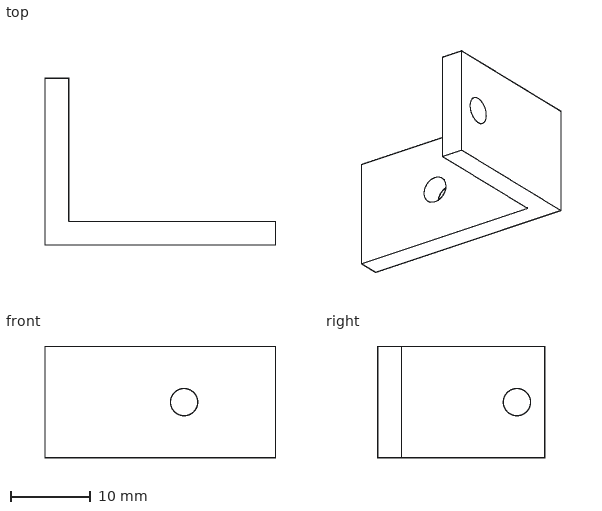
import cadquery as cq

long_leg = 29.0
short_leg = 21.0
height = 14.0
thickness = 3.0
hole_diameter = 3.4
hole_from_corner = 17.5

hole_height = height / 2


def angle_body():
    """L-shaped bracket with its outer corner on the Z axis."""
    long_plate = cq.Workplane("XY").box(long_leg, thickness, height, centered=False)
    short_plate = cq.Workplane("XY").box(thickness, short_leg, height, centered=False)
    return long_plate.union(short_plate)


def leg_hole(center, direction):
    """Cylinder that cuts through one leg, starting on its outer face."""
    return cq.Workplane(
        cq.Solid.makeCylinder(hole_diameter / 2, thickness, cq.Vector(*center), cq.Vector(*direction))
    )


long_leg_hole = leg_hole((hole_from_corner, 0, hole_height), (0, 1, 0))
short_leg_hole = leg_hole((0, hole_from_corner, hole_height), (1, 0, 0))

result = angle_body().cut(long_leg_hole).cut(short_leg_hole)